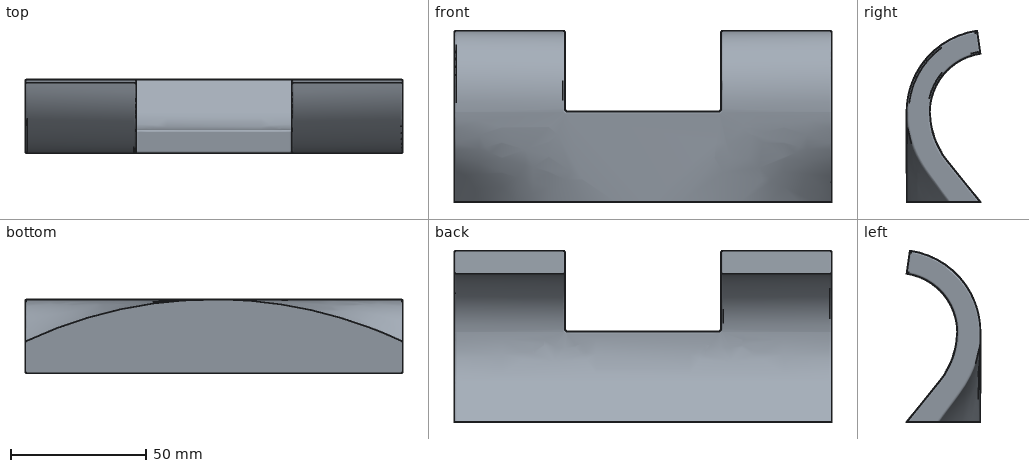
import cadquery as cq
import math

LENGTH = 139.7
DEPTH = 27.4
WALL = 8.7
SEAM_Z = 33.2
HOOK_RADIUS = 30.5
BASE_RADIUS = 37.2
END_SETBACK = 15.6
NOTCH_WIDTH = 57.5
NOTCH_FLOOR_Z = 33.5
EDGE_ROUND = 0.8
SECTIONS = 9
PROFILE_STEPS = 6

half_length = LENGTH / 2
hook_inner = HOOK_RADIUS - WALL
tip_angle = math.asin((HOOK_RADIUS - DEPTH) / hook_inner)
base_inner = BASE_RADIUS - WALL


def tangent_sweep(radius, bottom_y):
    """Arc angle at which a base arc runs tangentially into a line to the bottom at bottom_y."""
    to_bottom = BASE_RADIUS - bottom_y
    distance = math.hypot(to_bottom, SEAM_Z)
    return math.atan2(SEAM_Z, to_bottom) - math.acos(radius / distance)


outer_sweep = tangent_sweep(BASE_RADIUS, END_SETBACK)
inner_sweep = tangent_sweep(base_inner, DEPTH)


def on_hook(radius, angle):
    """Point (y, z) on a hook arc; angle is measured from straight up to the front."""
    return (HOOK_RADIUS - radius * math.sin(angle), SEAM_Z + radius * math.cos(angle))


def on_base(radius, angle):
    """Point (y, z) on a base arc, swept downward from the seam."""
    return (BASE_RADIUS - radius * math.cos(angle), SEAM_Z - radius * math.sin(angle))


def end_setback(z):
    """Front setback of the base at its ends: an arc, then a straight run to the bottom."""
    arc_end_y, arc_end_z = on_base(BASE_RADIUS, outer_sweep)
    if z >= arc_end_z:
        return BASE_RADIUS - math.sqrt(BASE_RADIUS**2 - (SEAM_Z - z) ** 2)
    return END_SETBACK + (arc_end_y - END_SETBACK) * z / arc_end_z


def setback_share(x):
    """Fraction of the end setback at x, following a circular arc in plan."""
    plan_radius = (half_length**2 + END_SETBACK**2) / (2 * END_SETBACK)
    return (plan_radius - math.sqrt(plan_radius**2 - x**2)) / END_SETBACK


def base_section(x):
    """Closed base profile at x: constant inside, with a front that flares to the middle."""
    share = setback_share(x)
    heights = [SEAM_Z * step / PROFILE_STEPS for step in range(PROFILE_STEPS + 1)]
    front = [cq.Vector(x, share * end_setback(z), z) for z in heights]
    bottom_direction = cq.Vector(0, -share * math.tan(outer_sweep), 1)
    rear_bottom = cq.Vector(x, DEPTH, 0)
    inner_mid = cq.Vector(x, *on_base(base_inner, inner_sweep / 2))
    inner_end = cq.Vector(x, *on_base(base_inner, inner_sweep))
    inner_top = cq.Vector(x, WALL, SEAM_Z)
    return cq.Wire.assembleEdges([
        cq.Edge.makeSpline(front, tangents=[bottom_direction, cq.Vector(0, 0, 1)]),
        cq.Edge.makeLine(front[-1], inner_top),
        cq.Edge.makeThreePointArc(inner_top, inner_mid, inner_end),
        cq.Edge.makeLine(inner_end, rear_bottom),
        cq.Edge.makeLine(rear_bottom, front[0]),
    ])


def make_base():
    """Flared base, lofted smoothly through sections spaced along the length."""
    stations = [LENGTH * i / (SECTIONS - 1) - half_length for i in range(SECTIONS)]
    return cq.Workplane(cq.Solid.makeLoft([base_section(x) for x in stations]))


def make_hooks():
    """Curled wall over the whole length, with the middle notched out almost to the seam."""
    middle_angle = (math.pi / 2 + tip_angle) / 2
    curl = (
        cq.Workplane("YZ", origin=(-half_length, 0, 0))
        .moveTo(0, SEAM_Z)
        .threePointArc(on_hook(HOOK_RADIUS, middle_angle), on_hook(HOOK_RADIUS, tip_angle))
        .lineTo(*on_hook(hook_inner, tip_angle))
        .threePointArc(on_hook(hook_inner, middle_angle), (WALL, SEAM_Z))
        .close()
        .extrude(LENGTH)
    )
    notch = cq.Workplane("XY", origin=(0, 0, NOTCH_FLOOR_Z)).box(
        NOTCH_WIDTH, 3 * DEPTH, 2 * HOOK_RADIUS, centered=(True, True, False)
    ).edges("|Y and <Z").fillet(EDGE_ROUND)
    return curl.cut(notch)


def round_edges(body):
    """Round the end rims and the front and inner rims of the notch; tips and bottom stay sharp."""
    tolerance = 0.01
    rims = []
    for edge in body.edges().vals():
        box = edge.BoundingBox()
        on_end = box.xlen < tolerance and abs(abs(edge.Center().x) - half_length) < tolerance
        end_rim = on_end and box.zmax > tolerance
        in_notch = max(abs(box.xmin), abs(box.xmax)) < NOTCH_WIDTH / 2 + tolerance
        above_seam = box.zmin > SEAM_Z - tolerance
        across_wall = edge.geomType() == "LINE" and box.ylen > WALL / 2
        if end_rim or (in_notch and above_seam and not across_wall):
            rims.append(edge)
    return body.newObject(rims).fillet(EDGE_ROUND)


result = round_edges(make_base().union(make_hooks()))